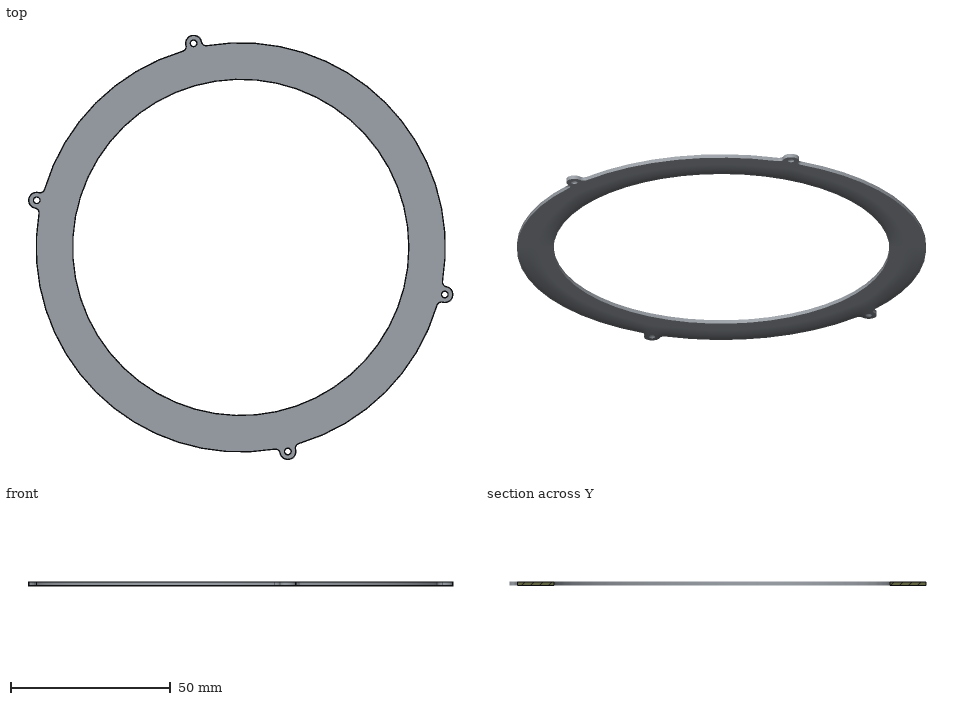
import cadquery as cq
import math

thickness = 1.2
ring_diameter = 128.0
bore_diameter = 105.0
overall_size = 132.6

lug_radius = 2.5
lug_hole_diameter = 2.0
lug_tilt = 13.0
neck_fillet_radius = 1.5

hole_circle_radius = (overall_size / 2 - lug_radius) / math.cos(math.radians(lug_tilt))

upper_left_angles = [90 + lug_tilt, 180 - lug_tilt]
lug_angles = upper_left_angles + [angle + 180 for angle in upper_left_angles]
lug_centers = [
    (hole_circle_radius * math.cos(math.radians(angle)), hole_circle_radius * math.sin(math.radians(angle)))
    for angle in lug_angles
]


def cylinders(diameter, centers):
    """Upright cylinders of the ring's thickness at the given centres."""
    return cq.Workplane("XY").pushPoints(centers).circle(diameter / 2).extrude(thickness)


def is_lug_corner(edge):
    """True for upright edges where a lug meets the rim, not the rim's seam on the X axis."""
    tolerance = 0.01
    center = edge.Center()
    on_rim = abs(math.hypot(center.x, center.y) - ring_diameter / 2) < tolerance
    return on_rim and abs(center.y) > tolerance


def disc_with_lugs():
    """Solid disc joined to the round lugs, with the concave corners rounded."""
    disc = cylinders(ring_diameter, [(0, 0)])
    blank = disc.union(cylinders(2 * lug_radius, lug_centers))
    return blank.edges("|Z").filter(is_lug_corner).fillet(neck_fillet_radius)


bore = cylinders(bore_diameter, [(0, 0)])
lug_holes = cylinders(lug_hole_diameter, lug_centers)

result = disc_with_lugs().cut(bore).cut(lug_holes)